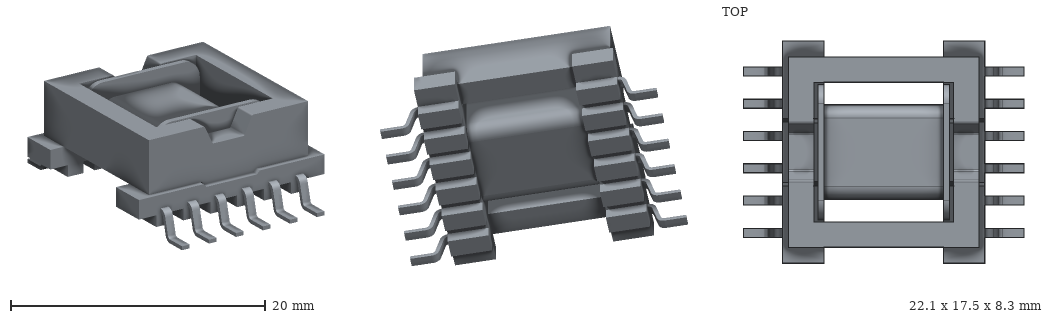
import cadquery as cq
import math

overall_length = 22.1
core_top = 8.3
rail_top = 3.67
rail_bottom = 2.01
foot_bottom = 1.02

core_side = 15.0
core_wall = 2.01
leg_width = 5.24
leg_height = 2.28
leg_bottom = 3.45
leg_chamfer = 0.3
leg_middle = leg_bottom + leg_height / 2

notch_top_width = 4.49
notch_floor_width = 2.98
notch_depth = 1.61
notch_radius = 0.18

leg_clearance = 0.07
tube_wall = 1.05
tube_length = 9.4
flange_thickness = 0.49
flange_overhang = 1.6
flange_radius = 1.52
rail_width = 3.27
rail_length = 17.5
rail_outer_face = tube_length / 2 + rail_width
bore_width = leg_width + 2 * leg_clearance
bore_height = leg_height + 2 * leg_clearance
tube_width = bore_width + 2 * tube_wall
tube_height = bore_height + 2 * tube_wall
tube_radius = 1.05

pin_count = 6
pin_pitch = 2.55
pin_width = 0.73
pin_thickness = 0.33
pin_top = 2.52
pin_slope = 75.0
upper_bend_radius = 0.38
lower_bend_radius = 0.3
foot_width = 1.5
pin_positions = [(i - (pin_count - 1) / 2) * pin_pitch for i in range(pin_count)]


def box(x_range, y_range, z_range):
    """Box between the given limits on each axis."""
    (x0, x1), (y0, y1), (z0, z1) = x_range, y_range, z_range
    return cq.Workplane("XY").box(x1 - x0, y1 - y0, z1 - z0, centered=False).translate((x0, y0, z0))


def bar_along_x(width, height, length):
    """Rectangular bar along X, centred on the leg axis."""
    return cq.Workplane("XY").box(length, width, height).translate((0, 0, leg_middle))


def make_core():
    """Ring with wire notches in its X walls, bridged by the chamfered centre leg."""
    ring_height = core_top - rail_top
    opening = core_side - 2 * core_wall
    ring = (
        cq.Workplane("XY", origin=(0, 0, rail_top))
        .rect(core_side, core_side)
        .rect(opening, opening)
        .extrude(ring_height)
    )
    notch_floor = core_top - notch_depth
    notch = (
        cq.Workplane("YZ")
        .moveTo(-notch_top_width / 2, core_top)
        .lineTo(-notch_floor_width / 2, notch_floor)
        .lineTo(notch_floor_width / 2, notch_floor)
        .lineTo(notch_top_width / 2, core_top)
        .close()
        .extrude(core_side / 2, both=True)
    )
    notch_reach = notch_top_width / 2 + notch_radius
    notch_zone = cq.selectors.BoxSelector(
        (-core_side, -notch_reach, notch_floor - notch_radius),
        (core_side, notch_reach, core_top + notch_radius),
    )
    edges_along_x = cq.selectors.ParallelDirSelector(cq.Vector(1, 0, 0))
    notch_corners = cq.selectors.AndSelector(notch_zone, edges_along_x)
    ring = ring.cut(notch).edges(notch_corners).fillet(notch_radius)
    leg = bar_along_x(leg_width, leg_height, core_side).edges("|X").chamfer(leg_chamfer)
    return ring.union(leg)


def make_rail(side):
    """Pin rail with its feet, on the -X end (side = -1) or the +X end (side = 1)."""
    x_range = sorted((side * tube_length / 2, side * rail_outer_face))
    rail = box(x_range, (-rail_length / 2, rail_length / 2), (rail_bottom, rail_top))
    for y in pin_positions:
        foot = box(x_range, (y - foot_width / 2, y + foot_width / 2), (foot_bottom, rail_bottom))
        rail = rail.union(foot)
    return rail


def make_flange(side):
    """Rounded flange at one end of the tube, standing on the pin rail."""
    width = tube_width + 2 * flange_overhang
    middle = side * (tube_length + flange_thickness) / 2
    return (
        box(
            (middle - flange_thickness / 2, middle + flange_thickness / 2),
            (-width / 2, width / 2),
            (rail_bottom, core_top),
        )
        .edges("|X and >Z")
        .fillet(flange_radius)
    )


def make_bobbin():
    """Tube, rails and flanges, with a bore that also grooves the rail tops."""
    bobbin = bar_along_x(tube_width, tube_height, tube_length).edges("|X").fillet(tube_radius)
    for side in (-1, 1):
        bobbin = bobbin.union(make_rail(side)).union(make_flange(side))
    bore = bar_along_x(bore_width, bore_height, overall_length).edges("|X").chamfer(leg_chamfer)
    return bobbin.cut(bore)


def bend_offsets(radius):
    """Horizontal run and vertical rise of one pin bend of the given radius."""
    turn = math.radians(pin_slope)
    return radius * math.sin(turn), radius * (1 - math.cos(turn))


def make_pin():
    """Pin on the +X end: leaves the rail level, slopes down, then lies flat."""
    upper_outer_radius = upper_bend_radius + pin_thickness
    lower_outer_radius = lower_bend_radius + pin_thickness
    upper_inner_run, upper_inner_rise = bend_offsets(upper_bend_radius)
    upper_outer_run, upper_outer_rise = bend_offsets(upper_outer_radius)
    lower_inner_run, lower_inner_rise = bend_offsets(lower_bend_radius)
    lower_outer_run, lower_outer_rise = bend_offsets(lower_outer_radius)
    slope_rise = pin_top - pin_thickness - upper_outer_rise - lower_inner_rise
    slope_run = slope_rise / math.tan(math.radians(pin_slope))
    bend_start = rail_outer_face
    flat_start = bend_start + upper_outer_run + slope_run + lower_inner_run
    root = rail_outer_face - pin_thickness
    tip = overall_length / 2
    pin_underside = pin_top - pin_thickness
    return (
        cq.Workplane("XZ")
        .moveTo(root, pin_top)
        .lineTo(bend_start, pin_top)
        .radiusArc((bend_start + upper_outer_run, pin_top - upper_outer_rise), upper_outer_radius)
        .lineTo(flat_start - lower_inner_run, pin_thickness + lower_inner_rise)
        .radiusArc((flat_start, pin_thickness), -lower_bend_radius)
        .lineTo(tip, pin_thickness)
        .lineTo(tip, 0)
        .lineTo(flat_start, 0)
        .radiusArc((flat_start - lower_outer_run, lower_outer_rise), lower_outer_radius)
        .lineTo(bend_start + upper_inner_run, pin_underside - upper_inner_rise)
        .radiusArc((bend_start, pin_underside), -upper_bend_radius)
        .lineTo(root, pin_underside)
        .close()
        .extrude(pin_width / 2, both=True)
    )


result = make_bobbin().union(make_core())
right_pin = make_pin()
left_pin = right_pin.mirror("YZ")
for y in pin_positions:
    result = result.union(right_pin.translate((0, y, 0))).union(left_pin.translate((0, y, 0)))